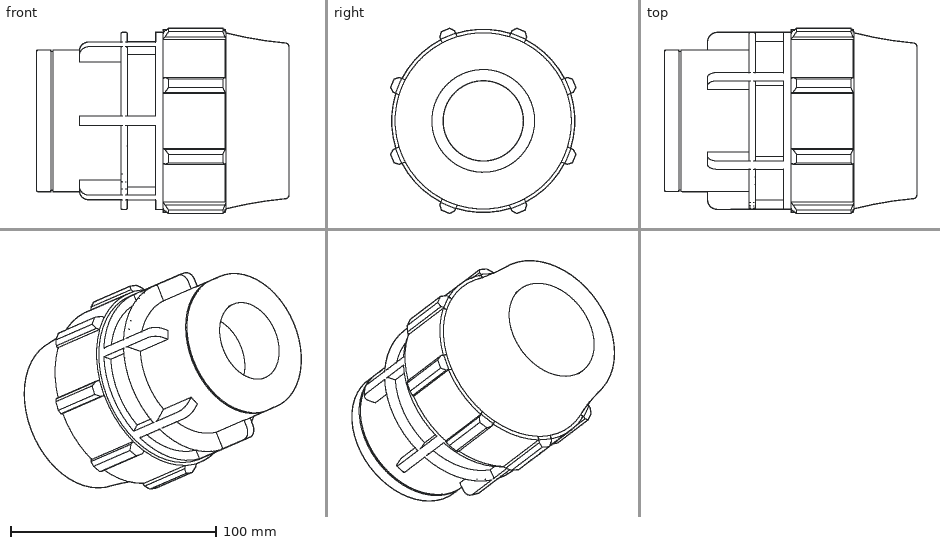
import cadquery as cq
import math

length = 123.0

spigot_radius = 69.1 / 2
spigot_fillet = 0.9
groove_start = 7.0
groove_width = 1.0
groove_depth = 0.7

collar_radius = 86.3 / 2
collar_start = 41.1
collar_end = 44.3
collar_fillet = 0.9
drum_radius = 38.6
flange_start = 58.0

nut_radius = 44.6
nut_start = 61.6
nut_end = 92.4
nut_bevel = 0.5
nose_radius = 42.9
nose_middle_x = 106.8
nose_middle_radius = 39.9
nose_tip_radius = 38.0
nose_fillet = 2.0

inlet_diameter = 39.0
inlet_depth = 25.0
bore_diameter = 50.0

fin_count = 6
fin_start = 20.9
fin_end = flange_start
fin_thickness = 4.7
fin_corner_radius = 4.9
fin_root_radius = spigot_radius - 1.2

grip_count = 8
grip_root_radius = 41.8
grip_shoulder_radius = 45.9
grip_top_radius = 48.0
grip_half_width = 3.9
grip_top_half_width = 2.2
grip_front_slope = 2.7
grip_back_slope = 1.6


def spin(profile):
    """Revolve a closed (x, radius) profile a full turn about the X axis."""
    return profile.close().revolve(360, (0, 0, 0), (1, 0, 0))


def round_rising(profile, x, radius, fillet):
    """Go up the face at x, then round its outer corner towards +X."""
    dip = fillet * (1 - math.sqrt(0.5))
    return profile.lineTo(x, radius - fillet).threePointArc(
        (x + dip, radius - dip), (x + fillet, radius)
    )


def round_falling(profile, x, radius, fillet):
    """Go along the rim towards +X, then round its corner down to the face at x."""
    dip = fillet * (1 - math.sqrt(0.5))
    return profile.lineTo(x - fillet, radius).threePointArc(
        (x - dip, radius - dip), (x, radius - fillet)
    )


def around_axis(shape, count, first_angle):
    """Return copies of a shape spaced evenly about the X axis."""
    step = 360 / count
    return [shape.rotate((0, 0, 0), (1, 0, 0), first_angle + i * step) for i in range(count)]


def make_body():
    """Solid of revolution: spigot, collar, drum, flange, nut and nose."""
    groove_end = groove_start + groove_width
    groove_radius = spigot_radius - groove_depth
    nose_tip_x = length - nose_fillet
    dip = nose_fillet * (1 - math.sqrt(0.5))

    profile = cq.Workplane("XY").moveTo(0, 0)
    profile = round_rising(profile, 0, spigot_radius, spigot_fillet)
    profile = (
        profile.lineTo(groove_start, spigot_radius)
        .lineTo(groove_start, groove_radius)
        .lineTo(groove_end, groove_radius)
        .lineTo(groove_end, spigot_radius)
        .lineTo(collar_start, spigot_radius)
    )
    profile = round_rising(profile, collar_start, collar_radius, collar_fillet)
    profile = round_falling(profile, collar_end, collar_radius, collar_fillet)
    profile = (
        profile.lineTo(collar_end, drum_radius)
        .lineTo(flange_start, drum_radius)
        .lineTo(flange_start, collar_radius)
        .lineTo(nut_start, collar_radius)
        .lineTo(nut_start, nut_radius)
        .lineTo(nut_end - nut_bevel, nut_radius)
        .lineTo(nut_end, nose_radius)
        .threePointArc((nose_middle_x, nose_middle_radius), (nose_tip_x, nose_tip_radius))
        .threePointArc(
            (length - dip, nose_tip_radius - dip),
            (length, nose_tip_radius - nose_fillet),
        )
        .lineTo(length, 0)
    )
    return spin(profile)


def make_fin_ring():
    """Full ring that the fins are left standing from, rounded at its outer front corner."""
    profile = cq.Workplane("XY").moveTo(fin_start, fin_root_radius)
    profile = round_rising(profile, fin_start, collar_radius, fin_corner_radius)
    profile = profile.lineTo(fin_end, collar_radius).lineTo(fin_end, fin_root_radius)
    return spin(profile)


def make_fin_plate():
    """Plate from the axis outwards along +Y, as thick as a fin and taller than it."""
    return cq.Workplane("XY").box(
        length, 2 * collar_radius, fin_thickness, centered=(False, False, True)
    )


def add_fins(body):
    """Fill the ring around the body, then clear the spaces between the fins."""
    ring = make_fin_ring()
    spaces = ring.cut(body)
    for plate in around_axis(make_fin_plate(), fin_count, 0):
        spaces = spaces.cut(plate)
    return body.union(ring).cut(spaces)


def make_grip():
    """Grip rib on the +Y side: tapered in section and sloped at both ends."""
    section = (
        cq.Workplane("YZ", origin=(nut_start, 0, 0))
        .moveTo(grip_root_radius, -grip_half_width)
        .lineTo(grip_shoulder_radius, -grip_half_width)
        .lineTo(grip_top_radius, -grip_top_half_width)
        .lineTo(grip_top_radius, grip_top_half_width)
        .lineTo(grip_shoulder_radius, grip_half_width)
        .lineTo(grip_root_radius, grip_half_width)
        .close()
        .extrude(nut_end - nut_start)
    )
    side = (
        cq.Workplane("XY")
        .moveTo(nut_start, grip_root_radius)
        .lineTo(nut_start, nut_radius)
        .lineTo(nut_start + grip_front_slope, grip_top_radius)
        .lineTo(nut_end - grip_back_slope, grip_top_radius)
        .lineTo(nut_end, nut_radius)
        .lineTo(nut_end, grip_root_radius)
        .close()
        .extrude(grip_half_width, both=True)
    )
    return section.intersect(side)


def make_bore():
    """Through bore that widens behind the inlet."""
    inlet = cq.Workplane("YZ").circle(inlet_diameter / 2).extrude(length)
    wide = (
        cq.Workplane("YZ", origin=(inlet_depth, 0, 0))
        .circle(bore_diameter / 2)
        .extrude(length - inlet_depth)
    )
    return inlet.union(wide)


result = add_fins(make_body())
for grip in around_axis(make_grip(), grip_count, 180 / grip_count):
    result = result.union(grip)
result = result.cut(make_bore())